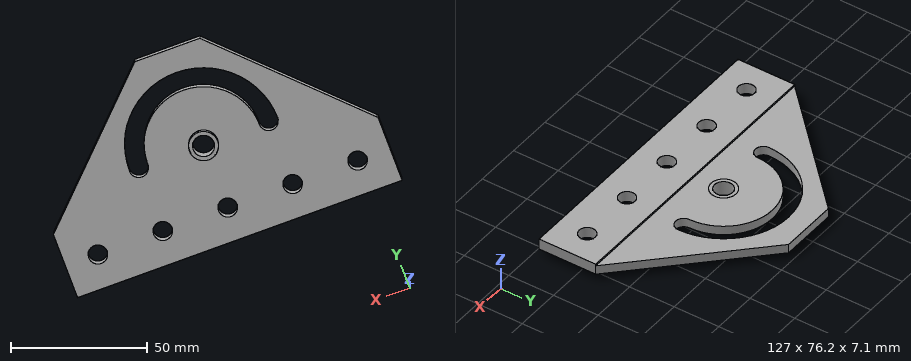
import cadquery as cq

plate_length = 127.0
plate_depth = 76.2
top_edge_length = 25.4
rail_depth = 25.4
rail_thickness = 4.8
web_thickness = 4.1

hole_diameter = 7.1
hole_count = 5
hole_pitch = plate_length / hole_count

pivot_y = plate_depth / 2
slot_radius = 25.4
slot_width = hole_diameter

bushing_outer_diameter = 11.0
bushing_bore = 8.0
bushing_length = 6.4


def make_rail():
    """Thicker straight strip along the front edge."""
    return cq.Workplane("XY").box(
        plate_length, rail_depth, rail_thickness, centered=(True, False, False)
    )


def make_web():
    """Thinner trapezoid behind the rail."""
    outline = [
        (-plate_length / 2, rail_depth),
        (plate_length / 2, rail_depth),
        (top_edge_length / 2, plate_depth),
        (-top_edge_length / 2, plate_depth),
    ]
    return cq.Workplane("XY").polyline(outline).close().extrude(web_thickness)


def make_mounting_holes():
    """Cutters for the row of holes through the rail."""
    return (
        cq.Workplane("XY")
        .center(0, rail_depth / 2)
        .rarray(hole_pitch, 1.3, hole_count, 1)
        .circle(hole_diameter / 2)
        .extrude(rail_thickness)
    )


def make_arc_slot():
    """Cutter for the half-circle slot with rounded ends."""
    outer_radius = slot_radius + slot_width / 2
    inner_radius = slot_radius - slot_width / 2
    end_radius = slot_width / 2
    return (
        cq.Workplane("XY")
        .center(0, pivot_y)
        .moveTo(-outer_radius, 0)
        .threePointArc((0, outer_radius), (outer_radius, 0))
        .threePointArc((slot_radius, -end_radius), (inner_radius, 0))
        .threePointArc((0, inner_radius), (-inner_radius, 0))
        .threePointArc((-slot_radius, -end_radius), (-outer_radius, 0))
        .close()
        .extrude(web_thickness)
    )


def make_bushing_seat():
    """Cutter for the through hole that holds the bushing."""
    return (
        cq.Workplane("XY")
        .center(0, pivot_y)
        .circle(bushing_outer_diameter / 2)
        .extrude(web_thickness)
    )


def make_plate():
    blank = make_rail().union(make_web())
    return blank.cut(make_mounting_holes()).cut(make_arc_slot()).cut(make_bushing_seat())


def make_bushing():
    """Plain sleeve in the pivot hole."""
    return (
        cq.Workplane("XY", origin=(0, pivot_y, web_thickness))
        .circle(bushing_outer_diameter / 2)
        .circle(bushing_bore / 2)
        .extrude(-bushing_length)
    )


plate = make_plate()
bushing = make_bushing()

result = cq.Compound.makeCompound([plate.solids().val(), bushing.val()])